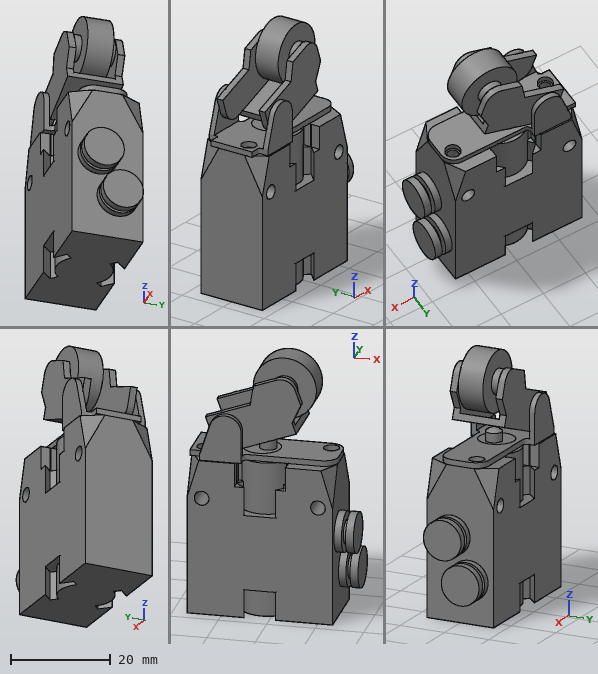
import cadquery as cq
import math


body_length = 30.0
body_width = 15.0
body_height = 33.0
mid_x = body_length / 2
half_width = body_width / 2

corner_cut_x = 2.4
corner_cut_y = 4.4
corner_cut_z = 8.05

mount_diameter = 3.0
mount_inset = 3.0
mount_z = 24.95

core_radius = 5.85
wide_pocket_width = 10.5
wide_pocket_depth = 3.85
wide_pocket_height = 5.0
slot_mouth = 6.4
upper_slot_height = 11.0
lower_slot_height = 6.0

plate_thickness = 1.2
plate_width = 9.95
plate_corner_radius = 3.0
plate_top = body_height + plate_thickness
bracket_left = 2.45
bracket_right = 11.05
bracket_inner_y = 5.95
bracket_outer_y = 7.15
bracket_radius = 3.35
left_notch_radius = 0.45
right_notch_radius = 0.9

screw_inset = 2.5
screw_y = 2.45
screw_centres = [(screw_inset, -screw_y), (body_length - screw_inset, screw_y)]
screw_clearance_diameter = 3.25
screw_diameter = 2.45
screw_depth = 7.0

plunger_diameter = 3.5
plunger_tip_z = 36.95
plunger_dome_height = 0.75
boss_diameter = 7.65
boss_x = 13.8

fitting_diameter = 8.5
fitting_groove_diameter = 5.0
fitting_inner_flange = 1.55
fitting_groove_width = 0.8
fitting_outer_flange = 1.65
fitting_centres = [(-2.0, 18.2), (2.0, 9.25)]

total_height = 54.75
lever_angle = 20.0
lever_end_radius = 3.3
lever_top_v = 3.6
lever_width = 11.75
arm_thickness = 1.5
web_thickness = 1.5
web_start_u = 1.65
web_end_u = 13.6
head_foot_u = 6.5
head_top_u = 8.55
head_radius = 3.0
nose_v = 0.75
nose_notch_v = -2.3
axle_u = 13.6
axle_v = 4.2
axle_diameter = 5.4
roller_diameter = 13.0
roller_width = 5.55

lever_mid_y = bracket_inner_y - lever_width / 2
lean = math.radians(lever_angle)
axle_rise = axle_u * math.sin(lean) + axle_v * math.cos(lean)
pivot_x = bracket_right - bracket_radius
pivot_z = total_height - roller_diameter / 2 - axle_rise


def block(x0, x1, y0, y1, z0, z1):
    """Box given by its limits on each axis."""
    return cq.Workplane("XY").box(x1 - x0, y1 - y0, z1 - z0, centered=False).translate((x0, y0, z0))


def cylinder_z(x, y, z0, z1, diameter):
    """Upright cylinder between two heights."""
    return cq.Workplane("XY", origin=(x, y, z0)).circle(diameter / 2).extrude(z1 - z0)


def along_y(outline, y0, y1):
    """Extrude an XZ outline between two Y positions."""
    return outline.extrude(y0 - y1).translate((0, y0, 0))


def corner_cut(side_x, side_y):
    """Tetrahedron that slices one upper corner off the housing."""
    corner = cq.Vector(mid_x + side_x * mid_x, side_y * half_width, body_height)
    on_x = corner + cq.Vector(-side_x * corner_cut_x, 0, 0)
    on_y = corner + cq.Vector(0, -side_y * corner_cut_y, 0)
    on_z = corner + cq.Vector(0, 0, -corner_cut_z)
    triangles = [(corner, on_x, on_y), (corner, on_y, on_z), (corner, on_z, on_x), (on_x, on_y, on_z)]
    faces = [cq.Face.makeFromWires(cq.Wire.makePolygon([*t], close=True)) for t in triangles]
    return cq.Workplane(cq.Solid.makeSolid(cq.Shell.makeShell(faces)))


def undercut_slot(z0, z1):
    """Slot in the -Y face: its sides flare at 45 degrees, then turn square in to the core axis."""
    half_mouth = slot_mouth / 2
    flare = (half_width - half_mouth) / 2
    profile = [
        (mid_x - half_mouth, -half_width),
        (mid_x + half_mouth, -half_width),
        (mid_x + half_mouth + flare, flare - half_width),
        (mid_x, 0),
        (mid_x - half_mouth - flare, flare - half_width),
    ]
    return cq.Workplane("XY", origin=(0, 0, z0)).polyline(profile).close().extrude(z1 - z0)


def side_pockets():
    """All pockets of the -Y face, with the round core left standing in them."""
    wide = block(
        mid_x - wide_pocket_width / 2,
        mid_x + wide_pocket_width / 2,
        -half_width,
        wide_pocket_depth - half_width,
        body_height - wide_pocket_height,
        body_height,
    )
    upper = undercut_slot(body_height - upper_slot_height, body_height)
    lower = undercut_slot(0, lower_slot_height)
    core = cylinder_z(mid_x, 0, 0, body_height, 2 * core_radius)
    return wide.union(upper).union(lower).cut(core)


def make_block():
    """Housing block with sloped corners, side pockets and mounting holes."""
    shape = block(0, body_length, -half_width, half_width, 0, body_height)
    for side_x in (-1, 1):
        for side_y in (-1, 1):
            shape = shape.cut(corner_cut(side_x, side_y))
    pockets = side_pockets()
    shape = shape.cut(pockets).cut(pockets.mirror("XZ"))
    for x in (mount_inset, body_length - mount_inset):
        hole = cq.Workplane("XZ").center(x, mount_z).circle(mount_diameter / 2)
        shape = shape.cut(along_y(hole, -half_width, half_width))
    return shape


def make_boss():
    """Low round boss on the housing, level with the top of the cover plate."""
    return cylinder_z(boss_x, 0, body_height, plate_top, boss_diameter)


def make_plate():
    """Cover plate with rounded +X corners and a wider stretch that carries the brackets."""
    strip = block(0, body_length, -plate_width / 2, plate_width / 2, body_height, plate_top)
    strip = strip.edges("|Z and >X").fillet(plate_corner_radius)
    wings = block(bracket_left, bracket_right, -bracket_outer_y, bracket_outer_y, body_height, plate_top)
    plate = strip.union(wings)
    for x, radius in ((bracket_left, left_notch_radius), (bracket_right, right_notch_radius)):
        for y in (-plate_width / 2, plate_width / 2):
            notch = cq.selectors.NearestToPointSelector((x, y, body_height + plate_thickness / 2))
            plate = plate.edges(notch).fillet(radius)
    for x, y in screw_centres:
        plate = plate.cut(cylinder_z(x, y, body_height, plate_top, screw_clearance_diameter))
    return plate.cut(make_boss())


def make_brackets():
    """Two upright ears, straight on +X, round on top and sloping down on -X."""
    foot_dx = bracket_left - pivot_x
    foot_dz = plate_top - pivot_z
    foot_distance = math.hypot(foot_dx, foot_dz)
    tangent_angle = math.atan2(foot_dz, foot_dx) - math.acos(bracket_radius / foot_distance)
    tangent_point = (
        pivot_x + bracket_radius * math.cos(tangent_angle),
        pivot_z + bracket_radius * math.sin(tangent_angle),
    )
    ears = []
    for y0, y1 in ((-bracket_outer_y, -bracket_inner_y), (bracket_inner_y, bracket_outer_y)):
        outline = (
            cq.Workplane("XZ")
            .moveTo(bracket_left, body_height)
            .lineTo(bracket_right, body_height)
            .lineTo(bracket_right, pivot_z)
            .threePointArc((pivot_x, pivot_z + bracket_radius), tangent_point)
            .lineTo(bracket_left, plate_top)
            .close()
        )
        ears.append(along_y(outline, y0, y1))
    return ears


def make_plunger():
    """Plunger with a domed tip, standing on the housing's top, through the boss."""
    radius = plunger_diameter / 2
    dome_radius = (radius**2 + plunger_dome_height**2) / (2 * plunger_dome_height)
    dome = cq.Workplane("XY").sphere(dome_radius).translate((mid_x, 0, plunger_tip_z - dome_radius))
    dome_base = plunger_tip_z - plunger_dome_height
    shank = cylinder_z(mid_x, 0, body_height, dome_base, plunger_diameter)
    cap = cylinder_z(mid_x, 0, dome_base, plunger_tip_z, plunger_diameter).intersect(dome)
    return shank.union(cap)


def make_fitting(y, z):
    """Round hose fitting with a groove between two flanges."""
    fitting = cq.Workplane("YZ", origin=(body_length, y, z))
    fitting = fitting.circle(fitting_diameter / 2).extrude(fitting_inner_flange)
    fitting = fitting.faces(">X").workplane().circle(fitting_groove_diameter / 2).extrude(fitting_groove_width)
    return fitting.faces(">X").workplane().circle(fitting_diameter / 2).extrude(fitting_outer_flange)


def make_housing():
    """Switch housing: block with its screw holes, boss, plunger and fittings."""
    shape = make_block()
    for x, y in screw_centres:
        shape = shape.cut(cylinder_z(x, y, body_height - screw_depth, body_height, screw_diameter))
    shape = shape.union(make_boss()).union(make_plunger())
    for y, z in fitting_centres:
        shape = shape.union(make_fitting(y, z))
    return shape


def make_lever():
    """Channel-shaped lever with two arms, a web beneath them, and the roller on its axle."""
    half_lever = lever_width / 2
    inner_half = half_lever - arm_thickness
    head_top_v = axle_v + head_radius
    nose_u = axle_u + head_radius
    web_top_v = -lever_end_radius
    web_bottom_v = web_top_v - web_thickness
    diagonal = math.sqrt(0.5)
    profile = (
        cq.Workplane("XZ")
        .moveTo(-lever_end_radius, 0)
        .lineTo(-lever_end_radius, lever_top_v)
        .lineTo(head_foot_u, lever_top_v)
        .lineTo(head_top_u, head_top_v)
        .lineTo(axle_u, head_top_v)
        .threePointArc((axle_u + head_radius * diagonal, axle_v + head_radius * diagonal), (nose_u, axle_v))
        .lineTo(nose_u, nose_v)
        .lineTo(web_end_u, nose_notch_v)
        .lineTo(web_end_u, web_bottom_v)
        .lineTo(web_start_u, web_bottom_v)
        .lineTo(web_start_u, web_top_v)
        .lineTo(0, web_top_v)
        .threePointArc((-lever_end_radius * diagonal, -lever_end_radius * diagonal), (-lever_end_radius, 0))
        .close()
    )
    lever = along_y(profile, -half_lever, half_lever)
    channel = block(-lever_end_radius, nose_u, -inner_half, inner_half, web_top_v, head_top_v)
    axle = cq.Workplane("XZ").center(axle_u, axle_v).circle(axle_diameter / 2)
    roller = cq.Workplane("XZ").center(axle_u, axle_v).circle(roller_diameter / 2)
    lever = lever.cut(channel)
    lever = lever.union(along_y(axle, -inner_half, inner_half))
    lever = lever.union(along_y(roller, -roller_width / 2, roller_width / 2))
    lever = lever.rotate((0, 0, 0), (0, -1, 0), lever_angle)
    return lever.translate((pivot_x, lever_mid_y, pivot_z))


def make_head():
    """Actuating head: cover plate, brackets, and the lever joined to the +Y bracket."""
    head = make_plate()
    for ear in make_brackets():
        head = head.union(ear)
    return head.union(make_lever())


housing = make_housing()
head = make_head()
result = cq.Compound.makeCompound([housing.solids().val(), head.solids().val()])